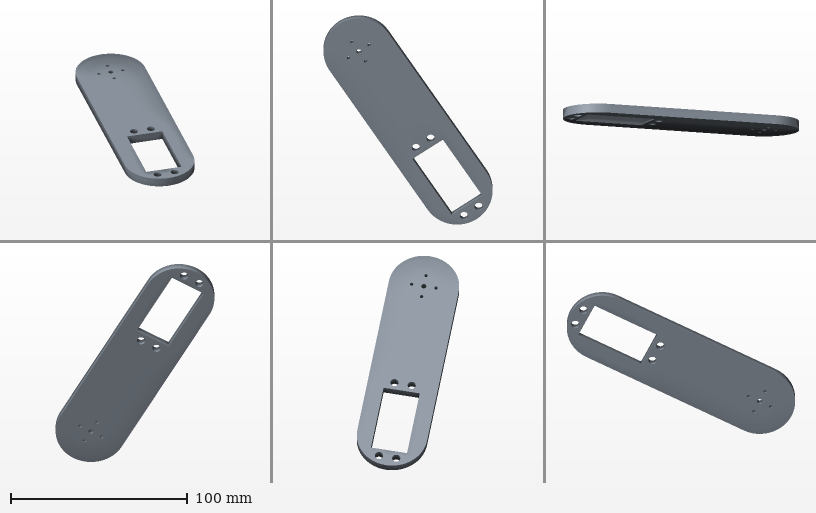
import cadquery as cq

length = 140.0
width = 40.0
thickness = 5.0
end_center = (length - width) / 2

hub_hole_diameter = 3.0
ring_hole_diameter = 2.0
ring_radius = 7.0
ring_hole_count = 4

window_center = 40.0
window_length = 40.0
window_width = 20.7
mount_hole_diameter = 4.6
mount_spacing_x = 48.9
mount_spacing_y = 10.0


def make_plate():
    return cq.Workplane("XY").slot2D(length, width).extrude(thickness)


def cut_hub_holes(body):
    hub = body.faces(">Z").workplane(origin=(-end_center, 0, thickness))
    body = hub.hole(hub_hole_diameter)
    ring = body.faces(">Z").workplane(origin=(-end_center, 0, thickness))
    return ring.polarArray(ring_radius, 0, 360, ring_hole_count).hole(ring_hole_diameter)


def cut_window(body):
    window = body.faces(">Z").workplane(origin=(window_center, 0, thickness))
    return window.rect(window_length, window_width).cutThruAll()


def cut_mount_holes(body):
    mounts = body.faces(">Z").workplane(origin=(window_center, 0, thickness))
    return mounts.rarray(mount_spacing_x, mount_spacing_y, 2, 2).hole(mount_hole_diameter)


plate = make_plate()
plate = cut_hub_holes(plate)
plate = cut_window(plate)
result = cut_mount_holes(plate)